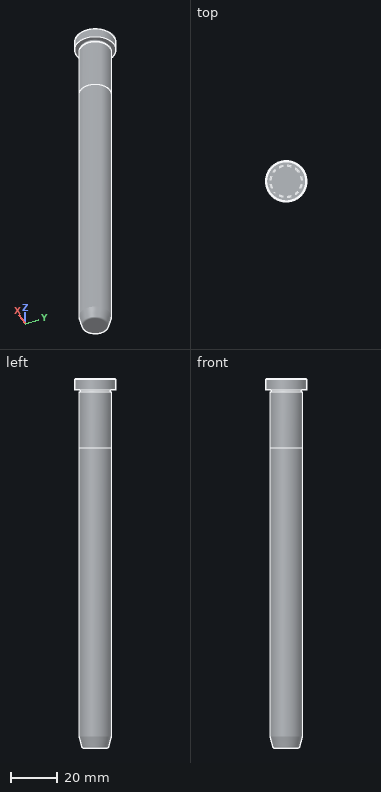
import cadquery as cq
import math

total_length = 160.0
head_diameter = 18.0
shank_diameter = 14.0

head_height = 5.0
head_chamfer = 0.51
mount_length = 30.0
groove_width = 1.0
groove_depth = 0.5
groove_fillet = 0.3

taper_length = 5.0
taper_angle = 15.0
tip_fillet = 0.8

head_radius = head_diameter / 2
shank_radius = shank_diameter / 2
joint_z = total_length - mount_length
head_bottom_z = total_length - head_height
groove_bottom_z = head_bottom_z - groove_width
tip_radius = shank_radius - taper_length * math.tan(math.radians(taper_angle))


def revolve_about_z(profile):
    """Turn a closed XZ half-profile into a solid of revolution about Z."""
    return profile.revolve(360, (0, 0, 0), (0, 1, 0))


def make_groove():
    """Ring removed below the head, with rounded inner corners."""
    groove_radius = shank_radius - groove_depth
    ring = (
        cq.Workplane("XY").workplane(offset=groove_bottom_z)
        .circle(shank_radius).circle(groove_radius).extrude(groove_width)
    )
    inner_edges = cq.selectors.RadiusNthSelector(0)
    return ring.edges(inner_edges).fillet(groove_fillet)


def make_mount():
    """Headed upper body with a relief groove under the head."""
    profile = (
        cq.Workplane("XZ")
        .moveTo(0, joint_z)
        .lineTo(shank_radius, joint_z)
        .lineTo(shank_radius, head_bottom_z)
        .lineTo(head_radius, head_bottom_z)
        .lineTo(head_radius, total_length)
        .lineTo(0, total_length)
        .close()
    )
    blank = revolve_about_z(profile).faces(">Z").edges().chamfer(head_chamfer)
    return blank.cut(make_groove())


def make_guide():
    """Long lower body with a tapered, rounded tip."""
    profile = (
        cq.Workplane("XZ")
        .moveTo(0, 0)
        .lineTo(tip_radius, 0)
        .lineTo(shank_radius, taper_length)
        .lineTo(shank_radius, joint_z)
        .lineTo(0, joint_z)
        .close()
    )
    return revolve_about_z(profile).faces("<Z").edges().fillet(tip_fillet)


mount = make_mount()
guide = make_guide()
result = cq.Compound.makeCompound([mount.val(), guide.val()])